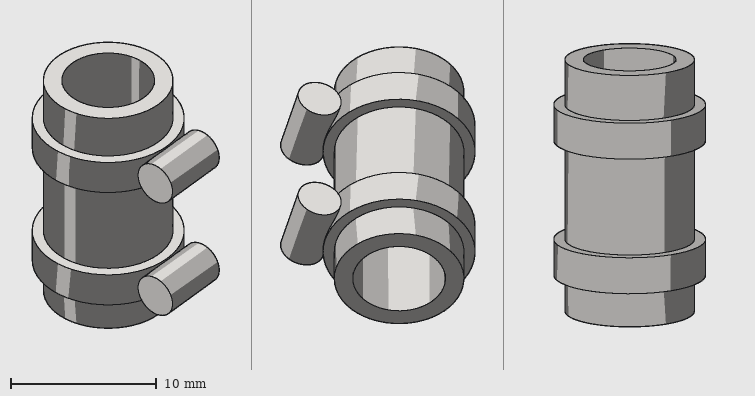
import cadquery as cq

tube_length = 17.78
tube_diameter = 8.89
bore_diameter = 6.35

band_diameter = 10.42
band_width = 2.55
band_bottoms = (2.55, 12.05)

screw_diameter = 3.04
screw_length = 5.09
screw_offset = 6.22


def cylinder(diameter, length, bottom=0):
    """Upright cylinder centred on the tube axis."""
    return cq.Workplane("XY").workplane(offset=bottom).circle(diameter / 2).extrude(length)


def clamp(bottom):
    """Solid band with its screw housing centred on the band's width."""
    band = cylinder(band_diameter, band_width, bottom)
    screw = (
        cq.Workplane("XZ")
        .center(screw_offset, bottom + band_width / 2)
        .circle(screw_diameter / 2)
        .extrude(screw_length / 2, both=True)
    )
    return band.union(screw)


body = cylinder(tube_diameter, tube_length)
for band_bottom in band_bottoms:
    body = body.union(clamp(band_bottom))

result = body.cut(cylinder(bore_diameter, tube_length))